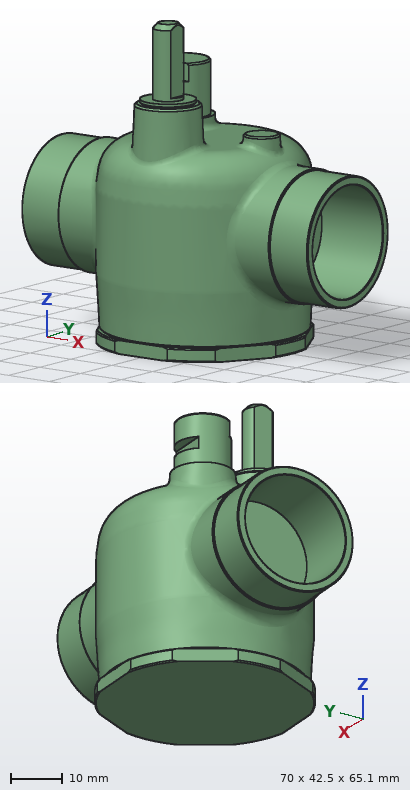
import cadquery as cq
import math

HEX_SIDES = 6
COVER_HEIGHT = 2.7
COVER_ACROSS_FLATS = 41.0
COVER_RADIUS = 21.5
COVER_CHAMFER = 0.3

HOUSING_BASE = COVER_HEIGHT
BASE_CHAMFER = 0.3
BASE_DRAFT = math.radians(3.5)
WALL_DIAMETER = 42.5
WALL_RADIUS = WALL_DIAMETER / 2
WALL_BOTTOM = 14.15
WALL_TOP = 30.2
WALL_BLEND = 10.0
DOME_DRAFT = math.radians(7.5)
DOME_ROUND = 7.4
DOME_TOP = 40.45

PIPE_AXIS_Z = 23.9
PIPE_SPAN = 70.0
PIPE_END_X = PIPE_SPAN / 2
PIPE_RADIUS = 13.0
PIPE_CHAMFER = 0.2
BORE_RADIUS = 11.3
BORE_CHAMFER = 0.15
BORE_DEPTH = 15.0
COLLAR_END_X = 25.9
COLLAR_DIAMETER = 26.7
COLLAR_RADIUS = COLLAR_DIAMETER / 2
COLLAR_CHAMFER = 0.2
PIPE_FILLET = 1.95

BOSS_ROOT_Z = 36.4
BOSS_FILLET = 1.5
BOSS_DRAFT = math.radians(2.5)
LOW_BOSS_TOP = 42.85

SPINDLE_X = -10.8
SPINDLE_Y = 6.8
SPINDLE_BOSS_RADIUS = 6.45

STEM_Y = -11.8
STEM_BOSS_TOP = 49.15
STEM_BOSS_RADIUS = 6.6
STEM_BOSS_CHAMFER = 0.4

STUD_X = 13.9
STUD_RADIUS = 3.6
STUD_CHAMFER = 0.35

SPINDLE_RADIUS = 5.6
SPINDLE_TOP = 53.75
SPINDLE_CHAMFER = 0.35
FLAT_Y = 3.2
FLAT_BOTTOM = 50.2
SLOT_BOTTOM = 46.2
SLOT_TOP = 48.65
SLOT_DEPTH = 2.2

STEM_RADIUS = 3.0
STEM_TOP = 65.1
STEM_CHAMFER = 1.05
STEM_FLATS = 4.5
STEM_FLATS_BOTTOM = 50.6
STEM_COLLAR_RADIUS = 5.5
STEM_COLLAR_TOP = 50.0
STEM_COLLAR_CHAMFER = 0.3


def cylinder(radius, bottom, top, x=0, y=0):
    """Upright cylinder between two heights."""
    return cq.Workplane("XY", origin=(x, y, bottom)).circle(radius).extrude(top - bottom)


def block(x_range, y_range, z_range):
    """Axis-aligned box given by its limits."""
    lows, highs = zip(x_range, y_range, z_range)
    size = [high - low for low, high in zip(lows, highs)]
    return cq.Workplane("XY").box(*size, centered=False).translate(lows)


def make_cover():
    """Hexagon with flats facing -Y and +Y and corners turned round and chamfered."""
    hexagon = (
        cq.Workplane("XY")
        .polygon(HEX_SIDES, COVER_ACROSS_FLATS, circumscribed=True)
        .extrude(COVER_HEIGHT)
        .rotate((0, 0, 0), (0, 0, 1), 180 / HEX_SIDES)
    )
    disc = cylinder(COVER_RADIUS, 0, COVER_HEIGHT).faces("<Z or >Z").chamfer(COVER_CHAMFER)
    return hexagon.intersect(disc)


def arc_point(center, radius, angle):
    """Point on a circle at an angle from the horizontal."""
    return (center[0] + radius * math.cos(angle), center[1] + radius * math.sin(angle))


def make_body():
    """Solid of revolution: drafted base, straight wall and rounded dome, all tangent."""
    blend_x = WALL_RADIUS - WALL_BLEND
    base_blend = arc_point((blend_x, WALL_BOTTOM), WALL_BLEND, -BASE_DRAFT)
    base_radius = base_blend[0] - (base_blend[1] - HOUSING_BASE) * math.tan(BASE_DRAFT)

    dome_blend = arc_point((blend_x, WALL_TOP), WALL_BLEND, DOME_DRAFT)
    round_start_z = DOME_TOP - DOME_ROUND + DOME_ROUND * math.sin(DOME_DRAFT)
    round_start_x = dome_blend[0] - (round_start_z - dome_blend[1]) * math.tan(DOME_DRAFT)
    dome_flat_radius = round_start_x - DOME_ROUND * math.cos(DOME_DRAFT)

    return (
        cq.Workplane("XZ")
        .moveTo(0, HOUSING_BASE)
        .lineTo(base_radius, HOUSING_BASE)
        .lineTo(*base_blend)
        .tangentArcPoint((WALL_RADIUS, WALL_BOTTOM), relative=False)
        .lineTo(WALL_RADIUS, WALL_TOP)
        .tangentArcPoint(dome_blend, relative=False)
        .lineTo(round_start_x, round_start_z)
        .tangentArcPoint((dome_flat_radius, DOME_TOP), relative=False)
        .lineTo(0, DOME_TOP)
        .close()
        .revolve(360, (0, 0), (0, 1))
        .faces("<Z")
        .chamfer(BASE_CHAMFER)
    )


def fillet_root(solid, low, high, radius):
    """Round the curved edges whose centres lie between two corner points."""
    return solid.edges(cq.selectors.BoxSelector(low, high)).edges("not %LINE").fillet(radius)


def add_boss(housing, x, y, radius, top, top_chamfer=0):
    """Drafted round boss standing on the dome, with a filleted root."""
    height = top - BOSS_ROOT_Z
    root_radius = radius + height * math.tan(BOSS_DRAFT)
    root_center = cq.Vector(x, y, BOSS_ROOT_Z)
    boss = cq.Workplane(cq.Solid.makeCone(root_radius, radius, height, root_center))
    if top_chamfer:
        boss = boss.faces(">Z").edges().chamfer(top_chamfer)
    low = (x - radius, y - radius, BOSS_ROOT_Z)
    high = (x + radius, y + radius, DOME_TOP + BOSS_FILLET)
    return fillet_root(housing.union(boss), low, high, BOSS_FILLET)


def add_pipe(housing, side):
    """Stepped pipe end pointing along X, with a filleted root."""
    axis = cq.Workplane("YZ", origin=(0, 0, PIPE_AXIS_Z))
    outer_face = ">X" if side > 0 else "<X"
    collar = axis.circle(COLLAR_RADIUS).extrude(side * COLLAR_END_X)
    collar = collar.faces(outer_face).chamfer(COLLAR_CHAMFER)
    housing = housing.union(collar)
    near, far = sorted((side * COLLAR_RADIUS, side * WALL_RADIUS))
    low = (near, -COLLAR_RADIUS, PIPE_AXIS_Z - COLLAR_RADIUS)
    high = (far, COLLAR_RADIUS, PIPE_AXIS_Z + COLLAR_RADIUS)
    housing = fillet_root(housing, low, high, PIPE_FILLET)
    pipe = axis.circle(PIPE_RADIUS).extrude(side * PIPE_END_X)
    housing = housing.union(pipe.faces(outer_face).chamfer(PIPE_CHAMFER))
    bore = (
        cq.Workplane("YZ", origin=(side * PIPE_END_X, 0, PIPE_AXIS_Z))
        .circle(BORE_RADIUS)
        .extrude(-side * BORE_DEPTH)
    )
    bore_rim = housing.cut(bore).faces(outer_face).edges(cq.selectors.RadiusNthSelector(0))
    return bore_rim.chamfer(BORE_CHAMFER)


def make_housing():
    """Domed body with three bosses and two pipe ends."""
    housing = make_body()
    for side in (-1, 1):
        housing = add_pipe(housing, side)
    housing = add_boss(housing, SPINDLE_X, SPINDLE_Y, SPINDLE_BOSS_RADIUS, LOW_BOSS_TOP)
    housing = add_boss(housing, 0, STEM_Y, STEM_BOSS_RADIUS, STEM_BOSS_TOP, STEM_BOSS_CHAMFER)
    return add_boss(housing, STUD_X, 0, STUD_RADIUS, LOW_BOSS_TOP, STUD_CHAMFER)


def make_spindle():
    """Round spindle with a flat facing -Y and a slot facing +Y."""
    spindle = cylinder(SPINDLE_RADIUS, LOW_BOSS_TOP, SPINDLE_TOP, SPINDLE_X, SPINDLE_Y)
    spindle = spindle.faces(">Z").chamfer(SPINDLE_CHAMFER)
    width = (SPINDLE_X - SPINDLE_RADIUS, SPINDLE_X + SPINDLE_RADIUS)
    front = SPINDLE_Y - SPINDLE_RADIUS
    back = SPINDLE_Y + SPINDLE_RADIUS
    flat = block(width, (front, FLAT_Y), (FLAT_BOTTOM, SPINDLE_TOP))
    slot = block(width, (back - SLOT_DEPTH, back), (SLOT_BOTTOM, SLOT_TOP))
    return spindle.cut(flat).cut(slot)


def make_stem():
    """Collared stem with two flats facing -X and +X."""
    collar = cylinder(STEM_COLLAR_RADIUS, STEM_BOSS_TOP, STEM_COLLAR_TOP, 0, STEM_Y)
    collar = collar.faces("<Z").chamfer(STEM_COLLAR_CHAMFER)
    shank = cylinder(STEM_RADIUS, STEM_BOSS_TOP, STEM_TOP, 0, STEM_Y)
    shank = shank.faces(">Z").chamfer(STEM_CHAMFER)
    depth = (STEM_Y - STEM_RADIUS, STEM_Y + STEM_RADIUS)
    for inner, outer in ((STEM_FLATS / 2, STEM_RADIUS), (-STEM_RADIUS, -STEM_FLATS / 2)):
        shank = shank.cut(block((inner, outer), depth, (STEM_FLATS_BOTTOM, STEM_TOP)))
    return collar.union(shank)


cover = make_cover()
housing = make_housing()
spindle = make_spindle()
stem = make_stem()

result = cq.Compound.makeCompound([cover.val(), housing.val(), spindle.val(), stem.val()])